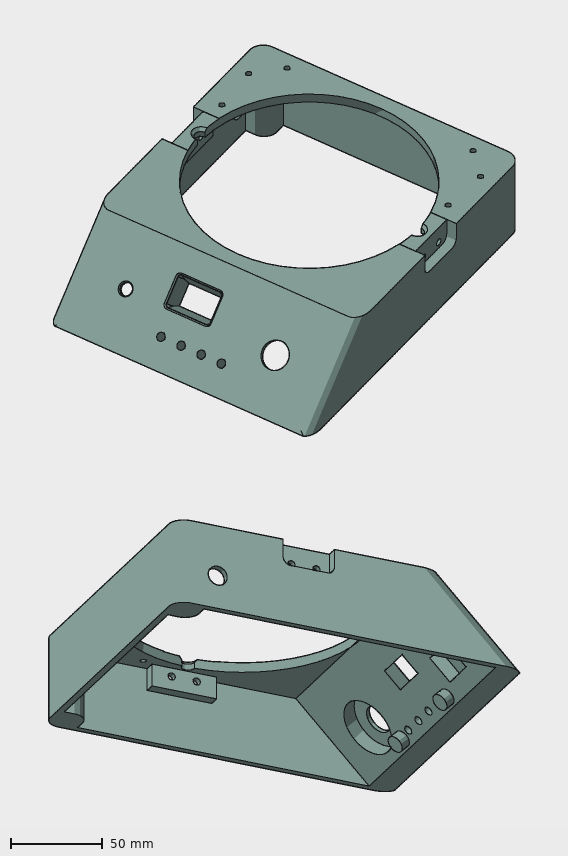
import cadquery as cq
import math


width = 172.0
depth = 209.0
height = 50.0
side_wall = 4.0
top_plate = 5.9
slope = math.radians(45)
panel_thickness = 11.3
panel_round = 8.0
nose_height = 0.6
rear_round = 9.0
post_size = 14.8
post_round = 8.5

opening_radius = 70.9
opening_y = 24.5
notch_radius = 3.8
notch_top_radius = 5.5
notch_sink_depth = 2.0
top_hole_radius = 1.7
top_holes = [(60.8, 94.5), (76.0, 79.2), (74.0, 50.0)]

pocket_length = 31.0
pocket_depth = 6.3
pocket_height = 15.0
pocket_corner = 4.5
pocket_backing = 4.0
seat_step = 0.2
pocket_hole_radius = 2.0
pocket_hole_spacing = 15.0
pocket_hole_z = 39.0

cable_hole_radius = 5.6
cable_hole_y = 79.2
cable_hole_z = 19.9

window_x = -10.7
window_s = 44.7
window_width = 30.5
window_rise = 21.3
window_chamfer = 0.8
window_taper = 3.1
window_corner = 1.9
control_s = 35.1
jack_x = -50.5
jack_radius = 3.8
jack_chamfer = 0.6
jack_lip = 2.7
jack_recess_width = 21.0
jack_recess_above = 4.5
jack_recess_below = 12.5
button_x = 47.3
button_radius = 8.4
button_lip = 2.5
button_recess_radius = 17.1
light_x = -0.2
light_s = 19.0
light_pitch = 13.2
light_count = 4
light_radius = 2.5
stud_x = 29.0
stud_s = 17.8
stud_radius = 5.0
stud_end = 17.4

side_x = width / 2
rear_y = depth / 2
inner_x = side_x - side_wall
inner_y = rear_y - side_wall
ceiling = height - top_plate
slope_run = 1 / math.tan(slope)
clearance = 2.0

round_below_base = panel_round * math.tan(slope / 2) - nose_height
tip_setback = panel_round - math.sqrt(panel_round**2 - round_below_base**2)
front_y = -depth / 2 - tip_setback
foot_y = front_y - nose_height * slope_run


def box(x_range, y_range, z_range):
    x0, x1 = sorted(x_range)
    y0, y1 = sorted(y_range)
    z0, z1 = sorted(z_range)
    return cq.Workplane("XY", origin=(x0, y0, z0)).box(x1 - x0, y1 - y0, z1 - z0, centered=False)


def upright_rod(x, y, radius, z0, z1):
    return cq.Workplane("XY", origin=(x, y, z0)).circle(radius).extrude(z1 - z0)


def rod_across(x, y, z, radius, length):
    return cq.Workplane("YZ", origin=(x, y, z)).circle(radius).extrude(length)


def panel_plane(x, s, inset=0.0):
    """Workplane parallel to the panel face, sunk by inset, with its normal pointing outward."""
    origin = (
        x,
        foot_y + s * math.cos(slope) + inset * math.sin(slope),
        s * math.sin(slope) - inset * math.cos(slope),
    )
    normal = (0, -math.sin(slope), math.cos(slope))
    return cq.Workplane(cq.Plane(origin, (1, 0, 0), normal))


def panel_rod(x, s, radius, start, end):
    return panel_plane(x, s, start).circle(radius).extrude(start - end)


def panel_block(x, s, size_x, size_s, start, end):
    return panel_plane(x, s, start).rect(size_x, size_s).extrude(start - end)


def extrude_across(points, half_width):
    """Extrude a closed (y, z) outline symmetrically about the YZ plane."""
    return cq.Workplane("YZ").polyline(points).close().extrude(half_width, both=True)


def outer_body():
    """Wedge-fronted block with rounded uprights, panel sides and panel foot."""
    skirt = -2 * panel_round
    wedge = extrude_across(
        [
            (rear_y, skirt),
            (rear_y, height),
            (foot_y + height * slope_run, height),
            (foot_y + skirt * slope_run, skirt),
        ],
        side_x,
    )
    wedge = wedge.edges("|Z and >Y").fillet(rear_round)
    panel_sides = cq.selectors.ParallelDirSelector(cq.Vector(0, math.cos(slope), math.sin(slope)))
    wedge = wedge.edges(panel_sides).fillet(panel_round)

    rounded_front = extrude_across(
        [
            (rear_y, skirt),
            (rear_y, height),
            (foot_y + height * slope_run, height),
            (front_y, nose_height),
            (front_y, skirt),
        ],
        side_x,
    )
    nose_edge = cq.selectors.NearestToPointSelector((0, front_y, nose_height))
    rounded_front = rounded_front.edges(nose_edge).fillet(panel_round)

    below_base = box((-width, width), (-depth, depth), (2 * skirt, 0))
    return wedge.intersect(rounded_front).cut(below_base)


def cavity():
    inner_foot_y = foot_y + panel_thickness / math.sin(slope)
    return extrude_across(
        [
            (inner_y, 0),
            (inner_y, ceiling),
            (inner_foot_y + ceiling * slope_run, ceiling),
            (inner_foot_y, 0),
        ],
        inner_x,
    )


def corner_post(side):
    post = box((side * (inner_x - post_size), side * inner_x), (inner_y - post_size, inner_y), (0, ceiling))
    inward_edge = "<X" if side > 0 else ">X"
    return post.edges("|Z and <Y").edges(inward_edge).fillet(post_round)


def backing(side):
    reach = pocket_length / 2 + pocket_backing
    return box(
        (side * (side_x - pocket_depth - pocket_backing), side * inner_x),
        (opening_y - reach, opening_y + reach),
        (height - pocket_height - pocket_backing, ceiling),
    )


def pocket(side):
    reach = pocket_length / 2
    void = box(
        (side * (side_x - pocket_depth), side * (side_x + clearance)),
        (opening_y - reach, opening_y + reach),
        (height - pocket_height, height + clearance),
    )
    return void.edges("|X and <Z").fillet(pocket_corner)


def seats():
    reach = pocket_length / 2
    return box((-side_x, side_x), (opening_y - reach, opening_y + reach), (height - seat_step, height + clearance))


def notch(side):
    """Countersunk hole centred on the rim of the opening."""
    x = side * opening_radius
    seat_z = height - seat_step
    countersink = (
        cq.Workplane("XZ", origin=(x, opening_y, seat_z))
        .polyline([(0, 0), (notch_top_radius, 0), (notch_radius, -notch_sink_depth), (0, -notch_sink_depth)])
        .close()
        .revolve(360, (0, 0, 0), (0, 1, 0))
    )
    return upright_rod(x, opening_y, notch_radius, ceiling, height).union(countersink)


def window():
    """Rounded rectangle narrowing inward, with a chamfered rim."""
    throat_width = window_width - 2 * window_chamfer
    throat_rise = window_rise - 2 * window_chamfer
    lean = math.degrees(math.atan(window_taper / panel_thickness))
    throat = cq.Sketch().rect(throat_width, throat_rise).vertices().fillet(window_corner)
    rim = cq.Sketch().rect(window_width, window_rise).vertices().fillet(window_corner + window_chamfer)
    face = panel_plane(window_x, window_s)
    tunnel = face.placeSketch(throat).extrude(-panel_thickness, taper=lean)
    bevel = face.placeSketch(rim).extrude(-window_chamfer, taper=45)
    return tunnel.union(bevel)


def jack_hole():
    hole = panel_rod(jack_x, control_s, jack_radius, 0, panel_thickness)
    bevel = (
        panel_plane(jack_x, control_s)
        .circle(jack_radius + jack_chamfer)
        .workplane(offset=-jack_chamfer)
        .circle(jack_radius)
        .loft()
    )
    recess_s = control_s + (jack_recess_above - jack_recess_below) / 2
    recess_rise = jack_recess_above + jack_recess_below
    recess = panel_block(jack_x, recess_s, jack_recess_width, recess_rise, jack_lip, panel_thickness)
    return hole.union(bevel).union(recess)


def button_hole():
    hole = panel_rod(button_x, control_s, button_radius, 0, panel_thickness)
    recess = panel_rod(button_x, control_s, button_recess_radius, button_lip, panel_thickness)
    return hole.union(recess)


body = outer_body().cut(cavity())
for side in (-1, 1):
    body = body.union(corner_post(side))
    body = body.union(backing(side))
    body = body.union(panel_rod(side * stud_x, stud_s, stud_radius, panel_thickness / 2, stud_end))

body = body.cut(upright_rod(0, opening_y, opening_radius, ceiling, height + clearance))
body = body.cut(seats())
for side in (-1, 1):
    body = body.cut(pocket(side))
    body = body.cut(notch(side))
    for x, y in top_holes:
        body = body.cut(upright_rod(side * x, y, top_hole_radius, ceiling, height))
    pocket_hole_y = opening_y + side * pocket_hole_spacing / 2
    body = body.cut(rod_across(-side_x, pocket_hole_y, pocket_hole_z, pocket_hole_radius, width))
body = body.cut(rod_across(-side_x, cable_hole_y, cable_hole_z, cable_hole_radius, side_wall))

body = body.cut(window())
body = body.cut(jack_hole())
body = body.cut(button_hole())
for index in range(light_count):
    x = light_x + light_pitch * (index - (light_count - 1) / 2)
    body = body.cut(panel_rod(x, light_s, light_radius, 0, panel_thickness))

result = body